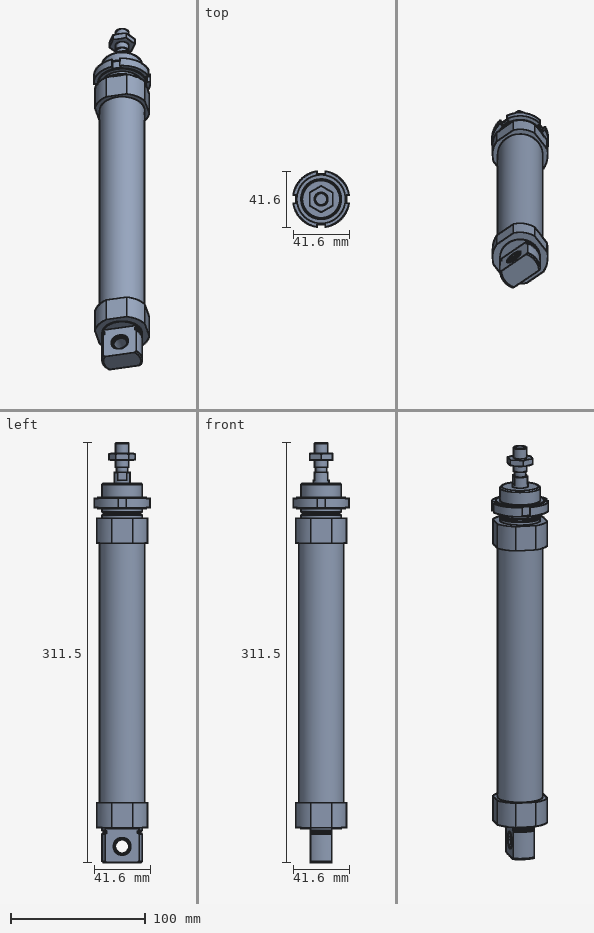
import cadquery as cq
import math


lug_length = 26.0
cap_height = 18.5
tube_length = 192.5
neck_length = lug_length

lower_cap_bottom = lug_length
lower_cap_top = lower_cap_bottom + cap_height
upper_cap_bottom = lower_cap_top + tube_length
upper_cap_top = upper_cap_bottom + cap_height
neck_top = upper_cap_top + neck_length

tube_diameter = 33.6
cap_diameter = 41.0
cap_across_flats = 38.0

spigot_diameter = 30.0
spigot_end_diameter = 27.7
spigot_chamfer = (spigot_diameter - spigot_end_diameter) / 2
groove_diameter = 27.7
groove_taper = 0.8
groove_start = 2.0
groove_floor = 1.2

lug_thickness = 16.0
lug_collar = 0.7
pivot_diameter = 10.0
pivot_recess_diameter = 12.0
pivot_recess_depth = 2.0
pivot_mouth_diameter = 13.0
pivot_chamfer = (pivot_mouth_diameter - pivot_recess_diameter) / 2
pivot_height = 12.0

rod_diameter = 12.0
rod_socket_depth = 20.0
rod_shoulder_height = 8.0
rod_across_flats = 10.0
rod_flat_length = 6.0
rod_thread_diameter = 10.0
rod_thread_length = 22.0
rod_tip_diameter = 8.57
rod_tip_chamfer = (rod_thread_diameter - rod_tip_diameter) / 2
undercut_upper_diameter = 8.65
undercut_lower_diameter = 8.4
undercut_cone_start = 0.9
undercut_cone_end = 1.9
undercut_length = 3.75

rod_socket_floor = neck_top - rod_socket_depth
rod_shoulder = neck_top + rod_shoulder_height
rod_top = rod_shoulder + rod_thread_length

rod_nut_across_flats = 17.0
rod_nut_height = 5.0
rod_nut_below_tip = 13.0
rod_nut_bottom = rod_top - rod_nut_below_tip
rod_nut_face_diameter = 16.15
rod_nut_chamfer_angle = 15.0

ring_nut_diameter = 42.0
ring_nut_height = 8.4
ring_nut_clearance = 7.0
ring_nut_bottom = upper_cap_top + ring_nut_clearance
ring_nut_face_diameter = 36.0
ring_nut_step = 0.8
ring_nut_slot_count = 4
ring_nut_slot_width = 6.0
ring_nut_slot_depth = 2.5


def disc(diameter, bottom, height):
    """Solid cylinder on the Z axis."""
    return cq.Workplane("XY").workplane(offset=bottom).circle(diameter / 2).extrude(height)


def turned(profile):
    """Solid turned about the Z axis from (radius, height) points."""
    return cq.Workplane("XZ").polyline(profile).close().revolve(360, (0, 0), (0, 1))


def end_cap(bottom):
    """Round cap with four wrench flats."""
    square = cq.Workplane("XY").workplane(offset=bottom)
    square = square.rect(cap_across_flats, cap_across_flats).extrude(cap_height)
    return disc(cap_diameter, bottom, cap_height).intersect(square)


def spigot(length):
    """Spigot rising from Z = 0, with a tapered groove near its root and a chamfered free end."""
    outer = spigot_diameter / 2
    inner = groove_diameter / 2
    floor_start = groove_start + groove_taper
    floor_end = floor_start + groove_floor
    return turned([
        (0, 0),
        (outer, 0),
        (outer, groove_start),
        (inner, floor_start),
        (inner, floor_end),
        (outer, floor_end + groove_taper),
        (outer, length - spigot_chamfer),
        (spigot_end_diameter / 2, length),
        (0, length),
    ])


def pivot_cutter():
    """Pivot hole along X with a shallow, chamfered recess on each side of the lug."""
    half = lug_thickness / 2
    inner = pivot_diameter / 2
    recess = pivot_recess_diameter / 2
    mouth = pivot_mouth_diameter / 2
    cutter = turned([
        (0, -half),
        (mouth, -half),
        (recess, -half + pivot_chamfer),
        (recess, -half + pivot_recess_depth),
        (inner, -half + pivot_recess_depth),
        (inner, half - pivot_recess_depth),
        (recess, half - pivot_recess_depth),
        (recess, half - pivot_chamfer),
        (mouth, half),
        (0, half),
    ])
    return cutter.rotate((0, 0, 0), (0, 1, 0), 90).translate((0, 0, pivot_height))


def make_lug():
    """Downward spigot flattened to a tongue below a thin full collar, with the pivot hole."""
    lug = spigot(lug_length).rotate((0, 0, 0), (1, 0, 0), 180).translate((0, 0, lug_length))
    tongue = cq.Workplane("XY").rect(lug_thickness, spigot_diameter).extrude(lug_length)
    collar = disc(spigot_diameter, lug_length - lug_collar, lug_collar)
    return lug.intersect(tongue).union(collar).cut(pivot_cutter())


def make_housing():
    """Tube, both end caps, upper neck and pivot lug, with a blind socket for the rod."""
    body = disc(tube_diameter, lower_cap_top, tube_length)
    body = body.union(end_cap(lower_cap_bottom))
    body = body.union(end_cap(upper_cap_bottom))
    body = body.union(make_lug())
    body = body.union(spigot(neck_length).translate((0, 0, upper_cap_top)))
    return body.cut(disc(rod_diameter, rod_socket_floor, rod_socket_depth))


def make_rod():
    """Rod with two wrench flats under the shoulder and an undercut, threaded end above it."""
    shank = disc(rod_diameter, rod_socket_floor, rod_shoulder - rod_socket_floor)
    flats_bottom = rod_shoulder - rod_flat_length
    waist = cq.Workplane("XY").workplane(offset=flats_bottom)
    waist = waist.rect(rod_across_flats, rod_diameter).extrude(rod_flat_length)
    below_flats = disc(rod_diameter, rod_socket_floor, flats_bottom - rod_socket_floor)
    shank = shank.intersect(waist.union(below_flats))

    thread = rod_thread_diameter / 2
    upper = undercut_upper_diameter / 2
    lower = undercut_lower_diameter / 2
    end = turned([
        (0, rod_shoulder),
        (lower, rod_shoulder),
        (lower, rod_shoulder + undercut_cone_start),
        (upper, rod_shoulder + undercut_cone_end),
        (upper, rod_shoulder + undercut_length),
        (thread, rod_shoulder + undercut_length),
        (thread, rod_top - rod_tip_chamfer),
        (rod_tip_diameter / 2, rod_top),
        (0, rod_top),
    ])
    return shank.union(end)


def make_rod_nut():
    """Hexagonal nut with flats facing X and both end faces chamfered at the corners."""
    across_corners = rod_nut_across_flats / math.cos(math.radians(30))
    hexagon = cq.Workplane("XY").workplane(offset=rod_nut_bottom)
    hexagon = hexagon.polygon(6, across_corners).extrude(rod_nut_height)
    hexagon = hexagon.rotate((0, 0, 0), (0, 0, 1), 30)
    corner_reach = (across_corners - rod_nut_face_diameter) / 2
    bevel = corner_reach * math.tan(math.radians(rod_nut_chamfer_angle))
    rod_nut_top = rod_nut_bottom + rod_nut_height
    blank = turned([
        (0, rod_nut_bottom),
        (rod_nut_face_diameter / 2, rod_nut_bottom),
        (across_corners / 2, rod_nut_bottom + bevel),
        (across_corners / 2, rod_nut_top - bevel),
        (rod_nut_face_diameter / 2, rod_nut_top),
        (0, rod_nut_top),
    ])
    return hexagon.intersect(blank).cut(disc(rod_thread_diameter, rod_nut_bottom, rod_nut_height))


def make_ring_nut():
    """Round nut on the neck, with a raised face at both ends and evenly spaced slots in its rim."""
    nut = disc(ring_nut_face_diameter, ring_nut_bottom, ring_nut_height)
    rim_height = ring_nut_height - 2 * ring_nut_step
    nut = nut.union(disc(ring_nut_diameter, ring_nut_bottom + ring_nut_step, rim_height))
    slot = cq.Workplane("XY").workplane(offset=ring_nut_bottom).center(ring_nut_diameter / 2, 0)
    slot = slot.rect(2 * ring_nut_slot_depth, ring_nut_slot_width).extrude(ring_nut_height)
    for index in range(ring_nut_slot_count):
        nut = nut.cut(slot.rotate((0, 0, 0), (0, 0, 1), index * 360 / ring_nut_slot_count))
    return nut.cut(disc(spigot_diameter, ring_nut_bottom, ring_nut_height))


housing = make_housing()
rod = make_rod()
rod_nut = make_rod_nut()
ring_nut = make_ring_nut()

result = cq.Compound.makeCompound([housing.val(), rod.val(), rod_nut.val(), ring_nut.val()])